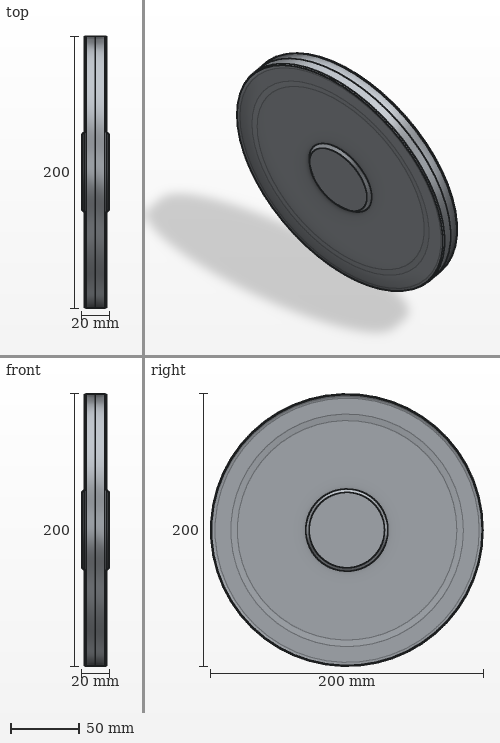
import cadquery as cq

outer_diameter = 200.0
overall_width = 20.0

plate_diameter = 161.2
step_diameter = 170.8
step_rise = 0.2

lip_start_diameter = 194.0
crest_diameter = 198.8
crest_half_width = 8.2
lip_rise = 0.5
tread_half_width = 6.8

rim_half_width = crest_half_width - lip_rise
plate_half_width = rim_half_width - step_rise

hub_half_width = overall_width / 2
hub_base_diameter = 60.4
hub_face_diameter = hub_base_diameter - 2 * (hub_half_width - plate_half_width)


def wheel_half(side):
    """Revolve one half about X; side is -1 for the -X half and +1 for the +X half."""

    def at(half_width, diameter):
        return (side * half_width, diameter / 2)

    profile = (
        cq.Workplane("XY")
        .moveTo(0, 0)
        .lineTo(*at(hub_half_width, 0))
        .lineTo(*at(hub_half_width, hub_face_diameter))
        .lineTo(*at(plate_half_width, hub_base_diameter))
        .lineTo(*at(plate_half_width, plate_diameter))
        .lineTo(*at(rim_half_width, step_diameter))
        .lineTo(*at(rim_half_width, lip_start_diameter))
        .tangentArcPoint(at(crest_half_width, crest_diameter), relative=False)
        .lineTo(*at(tread_half_width, outer_diameter))
        .lineTo(*at(0, outer_diameter))
        .close()
    )
    return profile.revolve(360, (0, 0, 0), (1, 0, 0))


halves = [wheel_half(side).val() for side in (-1, 1)]
result = cq.Compound.makeCompound(halves)